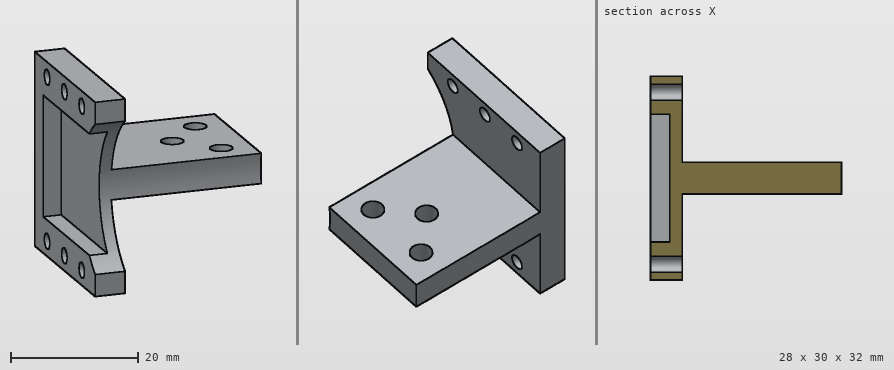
import cadquery as cq

plate_width = 28.0
plate_height = 32.0
plate_thickness = 5.0
mid_height = plate_height / 2

total_depth = 30.0
shelf_thickness = 5.0

cutout_radius = 15.0
cutout_left = 21.5
cutout_center_x = cutout_left + cutout_radius

recess_left = 4.0
recess_height = 20.0
recess_depth = 3.0

plate_hole_diameter = 2.5
plate_hole_edge_distance = 2.5
plate_hole_first_x = 5.75
plate_hole_pitch = 8.0
plate_holes_per_row = 3

shelf_hole_diameter = 3.6
shelf_hole_first_x = 5.0
shelf_hole_spacing = 12.0
shelf_hole_rear_distance = 5.0
shelf_hole_row_offset = 6.0


def block(x, y, z, width, depth, height):
    """Box with its minimum corner at (x, y, z)."""
    return cq.Workplane("XY").box(width, depth, height, centered=False).translate((x, y, z))


def cylinder_along_y(x, z, diameter, length):
    """Cylinder that runs back from the front face over the given length."""
    return (
        cq.Workplane("XZ")
        .center(x, z)
        .circle(diameter / 2)
        .extrude(-length)
    )


def make_plate():
    """Upright plate with its recess and two rows of holes."""
    plate = block(0, 0, 0, plate_width, plate_thickness, plate_height)
    recess_bottom = mid_height - recess_height / 2
    recess = block(
        recess_left, 0, recess_bottom, plate_width - recess_left, recess_depth, recess_height
    )
    plate = plate.cut(recess)
    for z in (plate_hole_edge_distance, plate_height - plate_hole_edge_distance):
        for column in range(plate_holes_per_row):
            x = plate_hole_first_x + column * plate_hole_pitch
            plate = plate.cut(cylinder_along_y(x, z, plate_hole_diameter, plate_thickness))
    return plate


def make_shelf():
    """Rear shelf at full plate width with its three holes."""
    shelf_bottom = mid_height - shelf_thickness / 2
    shelf = block(
        0, plate_thickness, shelf_bottom, plate_width, total_depth - plate_thickness, shelf_thickness
    )
    rear_row_y = total_depth - shelf_hole_rear_distance
    hole_centers = [
        (shelf_hole_first_x, rear_row_y),
        (shelf_hole_first_x + shelf_hole_spacing, rear_row_y),
        (shelf_hole_first_x + shelf_hole_spacing / 2, rear_row_y - shelf_hole_row_offset),
    ]
    holes = (
        cq.Workplane("XY")
        .workplane(offset=shelf_bottom)
        .pushPoints(hole_centers)
        .circle(shelf_hole_diameter / 2)
        .extrude(shelf_thickness)
    )
    return shelf.cut(holes)


cutout = cylinder_along_y(cutout_center_x, mid_height, 2 * cutout_radius, total_depth)
result = make_plate().union(make_shelf()).cut(cutout)